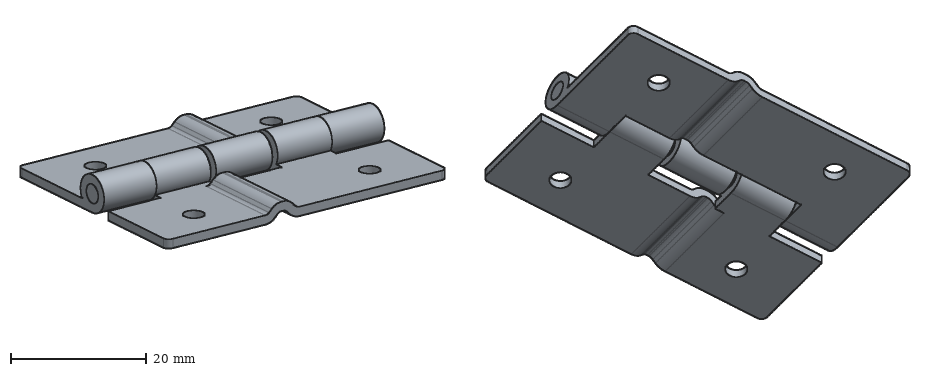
import cadquery as cq
import math

hinge_length = 51.0
hinge_width = 38.0
barrel_diameter = 6.0
pin_diameter = 3.0
corner_radius = 1.0

barrel_radius = barrel_diameter / 2
thickness = (barrel_diameter - pin_diameter) / 2
plate_bottom = -barrel_radius
outer_edge = hinge_width / 2
inner_edge = 4.05
half_length = hinge_length / 2

outer_knuckle_start = 15.95
inner_knuckle_start = 6.05
sleeve_length = 10.25

hole_diameter = 3.25
hole_spacing_x = 25.0
hole_spacing_y = 32.0

left_ridge_y = 4.95
right_ridge_y = -4.55
ridge_flat = 0.3
bend_radius = 0.95
bend_angle = math.radians(45)
ridge_rise = thickness

bend_sum = 2 * bend_radius + thickness
flank_rise = ridge_rise - bend_sum * (1 - math.cos(bend_angle))
ridge_half_width = ridge_flat / 2 + bend_sum * math.sin(bend_angle) + flank_rise / math.tan(bend_angle)


def ridge_side(concave_radius, convex_radius, base):
    """Points of one rising flank from crest edge to foot, relative to the ridge centre."""
    crest = base + ridge_rise
    half_angle = bend_angle / 2

    def convex(angle):
        return (ridge_flat / 2 + convex_radius * math.sin(angle),
                crest - convex_radius * (1 - math.cos(angle)))

    def concave(angle):
        return (ridge_half_width - concave_radius * math.sin(angle),
                base + concave_radius * (1 - math.cos(angle)))

    return [convex(0), convex(half_angle), convex(bend_angle),
            concave(bend_angle), concave(half_angle), concave(0)]


def add_ridge_path(sketch, flank, centre_y, direction):
    """Draw foot to foot over the ridge, travelling towards +Y (1) or -Y (-1)."""
    crest, crest_mid, flank_top, flank_low, foot_mid, foot = flank

    def near(point):
        return (centre_y - direction * point[0], point[1])

    def far(point):
        return (centre_y + direction * point[0], point[1])

    return (
        sketch.lineTo(*near(foot))
        .threePointArc(near(foot_mid), near(flank_low))
        .lineTo(*near(flank_top))
        .threePointArc(near(crest_mid), near(crest))
        .lineTo(*far(crest))
        .threePointArc(far(crest_mid), far(flank_top))
        .lineTo(*far(flank_low))
        .threePointArc(far(foot_mid), far(foot))
    )


def ridged_plate(side, ridge_y):
    """Sheet with its cross ridge, rounded outer corners and two screw holes."""
    lower_flank = ridge_side(bend_radius + thickness, bend_radius, plate_bottom)
    upper_flank = ridge_side(bend_radius, bend_radius + thickness, plate_bottom + thickness)
    start_x = inner_edge if side > 0 else -outer_edge

    outline = cq.Workplane("YZ", origin=(start_x, 0, 0)).moveTo(-half_length, plate_bottom)
    outline = add_ridge_path(outline, lower_flank, ridge_y, 1)
    outline = outline.lineTo(half_length, plate_bottom)
    outline = outline.lineTo(half_length, plate_bottom + thickness)
    outline = add_ridge_path(outline, upper_flank, ridge_y, -1)
    outline = outline.lineTo(-half_length, plate_bottom + thickness).close()

    plate = outline.extrude(outer_edge - inner_edge)
    plate = plate.edges("|Z").edges(">X" if side > 0 else "<X").fillet(corner_radius)
    holes = (
        cq.Workplane("XY", origin=(0, 0, plate_bottom))
        .pushPoints([(side * hole_spacing_x / 2, end * hole_spacing_y / 2) for end in (-1, 1)])
        .circle(hole_diameter / 2)
        .extrude(thickness)
    )
    return plate.cut(holes)


def rod(diameter, start_y, end_y):
    """Cylinder on the pin axis between two Y positions."""
    return (
        cq.Workplane("XZ", origin=(0, end_y, 0))
        .circle(diameter / 2)
        .extrude(end_y - start_y)
    )


def knuckle(side, start_y, end_y):
    """Rolled barrel and the flat tab that joins it to the plate."""
    tab = cq.Workplane("XY").box(
        inner_edge, end_y - start_y, thickness, centered=(True, False, False)
    ).translate((side * inner_edge / 2, start_y, plate_bottom))
    return rod(barrel_diameter, start_y, end_y).union(tab)


def make_leaf(side, ridge_y, knuckle_start, knuckle_end):
    """Leaf on the -X (-1) or +X (1) side with a knuckle at each end, bored for the pin."""
    leaf = ridged_plate(side, ridge_y)
    for start_y, end_y in ((knuckle_start, knuckle_end), (-knuckle_end, -knuckle_start)):
        leaf = leaf.union(knuckle(side, start_y, end_y))
    return leaf.cut(rod(pin_diameter, -half_length, half_length))


def make_sleeve():
    """Loose spacer tube in the middle of the barrel."""
    ends = (-sleeve_length / 2, sleeve_length / 2)
    return rod(barrel_diameter, *ends).cut(rod(pin_diameter, *ends))


left_leaf = make_leaf(-1, left_ridge_y, outer_knuckle_start, half_length)
right_leaf = make_leaf(1, right_ridge_y, inner_knuckle_start, outer_knuckle_start)
sleeve = make_sleeve()
pin = rod(pin_diameter, -half_length, half_length)

result = cq.Compound.makeCompound([left_leaf.val(), right_leaf.val(), sleeve.val(), pin.val()])